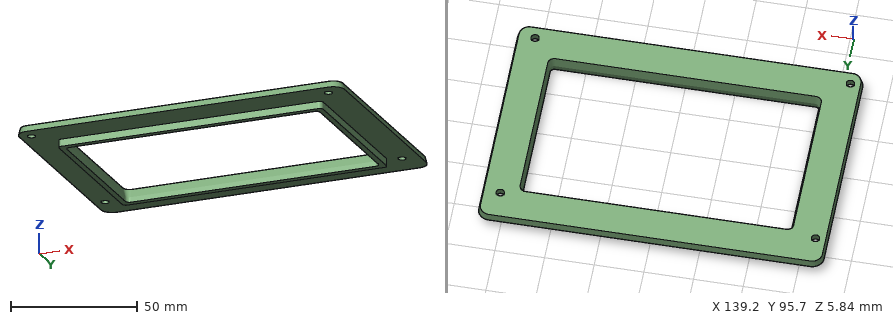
import cadquery as cq

plate_length = 139.17
plate_width = 95.73
plate_thickness = 2.79
plate_corner_radius = 4.8
rim_inset = 0.73

skirt_length = 113.03
skirt_width = 69.6
skirt_corner_radius = 1.5
total_height = 5.84
skirt_height = total_height - plate_thickness

window_length = 108.2
window_width = 64.7
window_corner_radius = 1.65
window_straight_height = 2.03
window_flare = 1.0

hole_diameter = 3.25
hole_spacing_x = 127.0
hole_spacing_y = 77.7
hole_pattern_centre = (-1.27, -3.175)


def rounded_rectangle(length, width, radius, z):
    """Sketch of a centred rectangle with rounded corners at height z."""
    sketch = cq.Sketch().rect(length, width).vertices().fillet(radius)
    return sketch.moved(cq.Location(cq.Vector(0, 0, z)))


def straight_block(length, width, radius, bottom, top):
    section = rounded_rectangle(length, width, radius, bottom)
    return cq.Workplane("XY").placeSketch(section).extrude(top - bottom)


def tapered_block(length, width, radius, bottom, top, growth):
    """Block whose sides move outward by growth (inward if negative) from bottom to top."""
    lower = rounded_rectangle(length, width, radius, bottom)
    upper = rounded_rectangle(length + 2 * growth, width + 2 * growth, radius + growth, top)
    return cq.Workplane("XY").placeSketch(lower, upper).loft()


def make_plate():
    return tapered_block(
        plate_length,
        plate_width,
        plate_corner_radius,
        skirt_height,
        total_height,
        -rim_inset,
    )


def make_skirt():
    return straight_block(skirt_length, skirt_width, skirt_corner_radius, 0, skirt_height)


def make_window():
    straight = straight_block(
        window_length, window_width, window_corner_radius, 0, window_straight_height
    )
    flared = tapered_block(
        window_length,
        window_width,
        window_corner_radius,
        window_straight_height,
        total_height,
        window_flare,
    )
    return straight.union(flared)


def make_mounting_holes():
    return (
        cq.Workplane("XY")
        .center(*hole_pattern_centre)
        .rarray(hole_spacing_x, hole_spacing_y, 2, 2)
        .circle(hole_diameter / 2)
        .extrude(total_height)
    )


result = make_plate().union(make_skirt()).cut(make_window()).cut(make_mounting_holes())